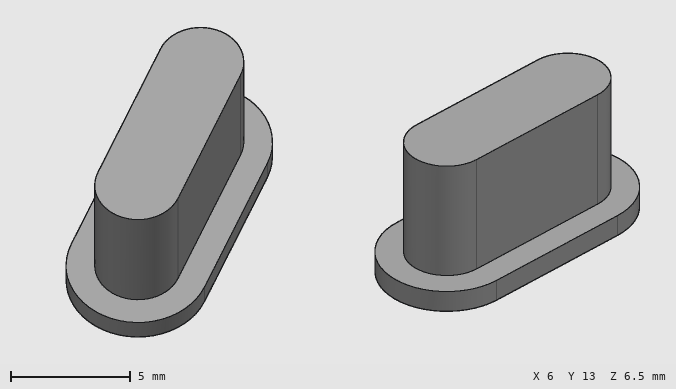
import cadquery as cq

flange_length = 13.0
flange_width = 6.0
flange_thickness = 1.0
total_height = 6.5
rim_width = 1.2

stem_length = flange_length - 2 * rim_width
stem_width = flange_width - 2 * rim_width


def rounded_bar(length, width, height):
    """Upright bar with full-round ends, its long side along Y, standing on Z = 0."""
    return cq.Workplane("XY").slot2D(length, width, angle=90).extrude(height)


flange = rounded_bar(flange_length, flange_width, flange_thickness)
stem = rounded_bar(stem_length, stem_width, total_height)

result = flange.union(stem)